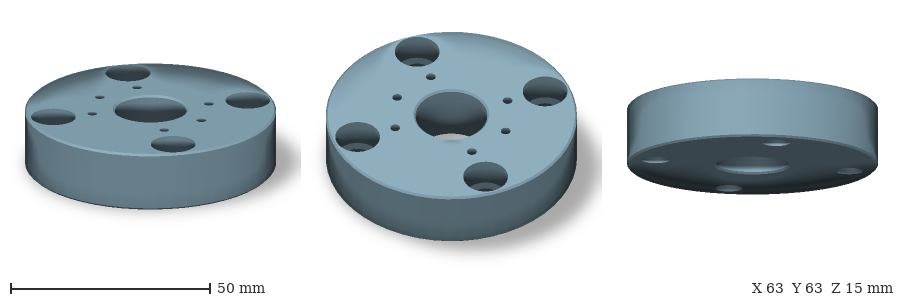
import cadquery as cq
import math

disc_diameter = 63.0
disc_height = 15.0
edge_chamfer = 0.5

bore_diameter = 18.0

mount_circle_radius = 25.0
mount_hole_diameter = 6.8
counterbore_diameter = 11.2
counterbore_depth = 7.0
mount_angles = [45, 135, 225, 315]

pilot_circle_radius = 15.0
pilot_diameter = 2.45
pilot_depth = 7.55
drill_point_angle = 118
pilot_angles = [0, 45, 135, 180, 225, 315]


def polar_points(radius, angles):
    """Points on a circle about the disc axis, at angles in degrees from +X."""
    return [
        (radius * math.cos(math.radians(a)), radius * math.sin(math.radians(a)))
        for a in angles
    ]


def make_ring():
    """Disc with a through bore, all four circular edges chamfered."""
    ring = cq.Workplane("XY").circle(disc_diameter / 2).circle(bore_diameter / 2).extrude(disc_height)
    return ring.faces("<Z or >Z").edges().chamfer(edge_chamfer)


def make_pilot_cutter():
    """Drill shape with its mouth on the XY plane and its point facing down."""
    radius = pilot_diameter / 2
    point_length = radius / math.tan(math.radians(drill_point_angle / 2))
    profile = [
        (0, 0),
        (radius, 0),
        (radius, -pilot_depth),
        (0, -pilot_depth - point_length),
    ]
    return cq.Workplane("XZ").polyline(profile).close().revolve(360, (0, 0), (0, 1))


def cut_mounting_holes(body):
    return (
        body.faces(">Z")
        .workplane(origin=(0, 0, disc_height))
        .pushPoints(polar_points(mount_circle_radius, mount_angles))
        .cboreHole(mount_hole_diameter, counterbore_diameter, counterbore_depth)
    )


def cut_pilot_holes(body):
    cutter = make_pilot_cutter()
    for x, y in polar_points(pilot_circle_radius, pilot_angles):
        body = body.cut(cutter.translate((x, y, disc_height)))
    return body


result = cut_pilot_holes(cut_mounting_holes(make_ring()))